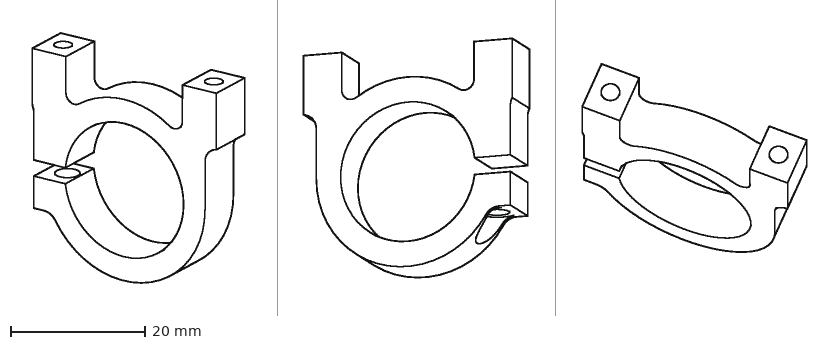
import cadquery as cq
import math

thickness = 7.6
height = 33.53
half_width = 16.515

ring_radius = 14.5
bore_radius = 10.63
top_z = height - ring_radius

post_width = 6.07
post_inner_x = half_width - post_width
post_fillet = 1.5
mount_hole_x = 13.5
mount_hole_diameter = 2.75
mount_hole_depth = 8.38
drill_tip_angle = 118.0

lug_x = 16.23
lug_bottom_z = -6.4
clamp_gap = 2.55
relief_radius = 2.4
right_relief_z = 7.65
left_relief_z = 8.85

screw_x = -12.75
screw_hole_diameter = 3.75
screw_head_diameter = 6.35


def relief_arc_point(wall_x, start_z, fraction):
    """Point on a relief arc leaving a vertical wall, mirrored into +X.

    The arc runs from the wall (fraction 0) to the post face (fraction 1).
    """
    sweep = math.acos(1 - (half_width - wall_x) / relief_radius)
    angle = fraction * sweep
    x = wall_x + relief_radius * (1 - math.cos(angle))
    return x, start_z + relief_radius * math.sin(angle)


def make_body():
    fillet_x = post_inner_x - post_fillet
    fillet_z = math.sqrt((ring_radius + post_fillet) ** 2 - fillet_x**2)
    ring_share = ring_radius / (ring_radius + post_fillet)
    ring_end = (fillet_x * ring_share, fillet_z * ring_share)
    end_angle = math.atan2(-fillet_z, -fillet_x)
    mid_angle = end_angle / 2
    fillet_mid = (
        fillet_x + post_fillet * math.cos(mid_angle),
        fillet_z + post_fillet * math.sin(mid_angle),
    )

    lug_fillet_z = lug_bottom_z - relief_radius
    lug_fillet_x = -math.sqrt((ring_radius + relief_radius) ** 2 - lug_fillet_z**2)
    lug_share = ring_radius / (ring_radius + relief_radius)
    lug_ring_end = (lug_fillet_x * lug_share, lug_fillet_z * lug_share)
    lug_end_angle = math.atan2(-lug_fillet_z, -lug_fillet_x)
    lug_mid_angle = (math.pi / 2 + lug_end_angle) / 2
    lug_fillet_mid = (
        lug_fillet_x + relief_radius * math.cos(lug_mid_angle),
        lug_fillet_z + relief_radius * math.sin(lug_mid_angle),
    )

    left_mid_x, left_mid_z = relief_arc_point(lug_x, left_relief_z, 0.5)
    left_end_z = relief_arc_point(lug_x, left_relief_z, 1)[1]

    outline = (
        cq.Workplane("XZ", origin=(0, thickness / 2, 0))
        .moveTo(-half_width, top_z)
        .lineTo(-post_inner_x, top_z)
        .lineTo(-post_inner_x, fillet_z)
        .threePointArc((-fillet_mid[0], fillet_mid[1]), (-ring_end[0], ring_end[1]))
        .threePointArc((0, ring_radius), ring_end)
        .threePointArc(fillet_mid, (post_inner_x, fillet_z))
        .lineTo(post_inner_x, top_z)
        .lineTo(half_width, top_z)
        .lineTo(*relief_arc_point(ring_radius, right_relief_z, 1))
        .threePointArc(
            relief_arc_point(ring_radius, right_relief_z, 0.5),
            (ring_radius, right_relief_z),
        )
        .lineTo(ring_radius, 0)
        .threePointArc((0, -ring_radius), lug_ring_end)
        .threePointArc(lug_fillet_mid, (lug_fillet_x, lug_bottom_z))
        .lineTo(-lug_x, lug_bottom_z)
        .lineTo(-lug_x, left_relief_z)
        .threePointArc((-left_mid_x, left_mid_z), (-half_width, left_end_z))
        .close()
    )
    return outline.extrude(thickness)


def make_bore():
    return cq.Workplane("XZ", origin=(0, thickness / 2, 0)).circle(bore_radius).extrude(thickness)


def make_clamp_slot():
    return cq.Workplane("XY").box(half_width, thickness, clamp_gap).translate((-half_width / 2, 0, 0))


def make_mount_hole(x):
    """Blind drilled hole with a conical bottom, open at the post top."""
    radius = mount_hole_diameter / 2
    floor_z = top_z - mount_hole_depth
    tip_z = floor_z - radius / math.tan(math.radians(drill_tip_angle / 2))
    profile = [(0, top_z), (radius, top_z), (radius, floor_z), (0, tip_z)]
    hole = cq.Workplane("XZ").polyline(profile).close().revolve(360, (0, 0), (0, 1))
    return hole.translate((x, 0, 0))


def make_screw_cut():
    """Clearance hole through the lower lug and head clearance below its seat."""
    seat = cq.Workplane("XY", origin=(screw_x, 0, lug_bottom_z))
    shank = seat.circle(screw_hole_diameter / 2).extrude(-lug_bottom_z)
    head = seat.circle(screw_head_diameter / 2).extrude(-ring_radius)
    return shank.union(head)


result = make_body().cut(make_bore()).cut(make_clamp_slot()).cut(make_screw_cut())
for hole_x in (-mount_hole_x, mount_hole_x):
    result = result.cut(make_mount_hole(hole_x))